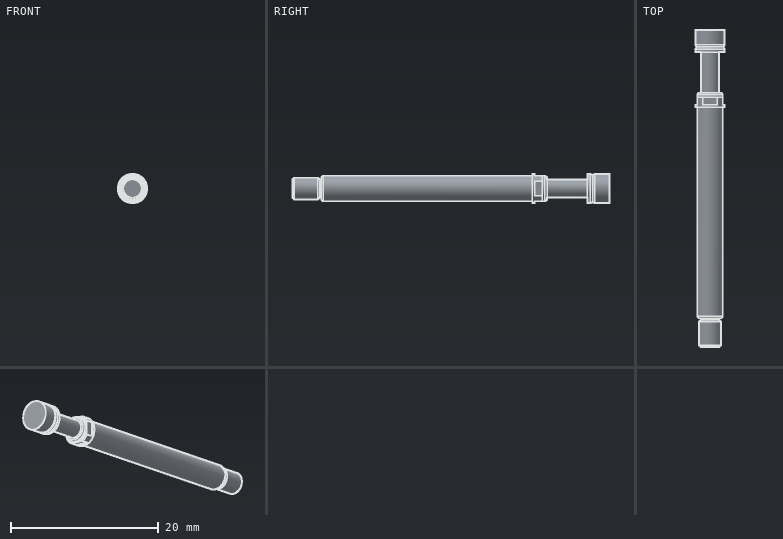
import cadquery as cq

overall_length = 43.1

tail_radius = 1.5
tail_chamfer = 0.25
tail_front = 3.7

neck_radius = tail_radius - tail_chamfer
barrel_rear = 3.9

barrel_radius = 1.75
barrel_chamfer_length = 0.28
barrel_chamfer_depth = 0.2
barrel_front = 34.6

collar_radius = 2.0
collar_rear = 32.6
collar_front = 33.95
collar_ring_width = 0.35
flats_across = 2 * barrel_radius

shaft_radius = 1.25

head_radius = 2.0
head_length = 3.0
head_rear = overall_length - head_length
rim_width = 0.4
groove_width = 0.6
groove_depth = 0.15


def cylinder_along_y(radius, start, end):
    """Cylinder on the Y axis between two Y positions."""
    disc = cq.Workplane("XZ", origin=(0, start, 0)).circle(radius)
    return disc.extrude(start - end)


def revolve_about_y(half_profile):
    """Full revolution about the Y axis of a closed outline of (radius, Y) points."""
    outline = cq.Workplane("XY").polyline(half_profile).close()
    return outline.revolve(360, (0, 0, 0), (0, 1, 0))


def make_tail():
    tail = cylinder_along_y(tail_radius, 0, tail_front)
    return tail.faces("<Y or >Y").chamfer(tail_chamfer)


def make_barrel():
    end_radius = barrel_radius - barrel_chamfer_depth
    return revolve_about_y([
        (0, barrel_rear),
        (end_radius, barrel_rear),
        (barrel_radius, barrel_rear + barrel_chamfer_length),
        (barrel_radius, barrel_front - barrel_chamfer_length),
        (end_radius, barrel_front),
        (0, barrel_front),
    ])


def make_collar():
    ring_front = collar_rear + collar_ring_width
    ring = cylinder_along_y(collar_radius, collar_rear, ring_front)
    flats_prism = (
        cq.Workplane("XZ", origin=(0, ring_front, 0))
        .rect(flats_across, flats_across)
        .extrude(ring_front - collar_front)
    )
    flatted = cylinder_along_y(collar_radius, ring_front, collar_front).intersect(flats_prism)
    return ring.union(flatted)


def make_head():
    groove_rear = head_rear + rim_width
    groove_middle = groove_rear + groove_width / 2
    groove_front = groove_rear + groove_width
    return revolve_about_y([
        (0, head_rear),
        (head_radius, head_rear),
        (head_radius, groove_rear),
        (head_radius - groove_depth, groove_middle),
        (head_radius, groove_front),
        (head_radius, overall_length),
        (0, overall_length),
    ])


neck = cylinder_along_y(neck_radius, tail_front, barrel_rear)
shaft = cylinder_along_y(shaft_radius, barrel_front, head_rear)

result = (
    make_barrel()
    .union(make_collar())
    .union(neck)
    .union(make_tail())
    .union(shaft)
    .union(make_head())
)